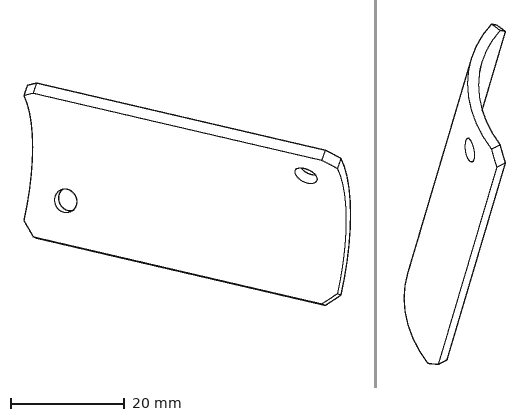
import cadquery as cq
import math

length = 60.0
inner_radius = 24.0
thickness = 2.0
inner_chord = 30.0
corner_chamfer = 2.4
hole_diameter = 4.2
hole_offset_x = 23.0
hole_angle = 20.7

outer_radius = inner_radius + thickness
half_angle = math.asin(inner_chord / 2 / inner_radius)


def arc_point(radius, angle):
    """Point (y, z) on an arc about the X axis, with angle zero towards +Y."""
    return (radius * math.cos(angle), radius * math.sin(angle))


def curved_plate():
    """Arc-shaped section with radial ends, extruded along X about its centre."""
    return (
        cq.Workplane("YZ")
        .moveTo(*arc_point(inner_radius, -half_angle))
        .threePointArc((inner_radius, 0), arc_point(inner_radius, half_angle))
        .lineTo(*arc_point(outer_radius, half_angle))
        .threePointArc((outer_radius, 0), arc_point(outer_radius, -half_angle))
        .close()
        .extrude(length / 2, both=True)
    )


def radial_hole(x, angle_degrees):
    """Cylinder through the wall, pointing straight out from the X axis."""
    y, z = arc_point(1, math.radians(angle_degrees))
    return cq.Workplane(
        cq.Solid.makeCylinder(
            hole_diameter / 2, 2 * outer_radius, cq.Vector(x, 0, 0), cq.Vector(0, y, z)
        )
    )


plate = curved_plate()

for z_side in (">Z", "<Z"):
    for x_side in (">X", "<X"):
        corner_edge = plate.faces(x_side).edges(z_side)
        plate = corner_edge.chamfer(corner_chamfer)

for side in (-1, 1):
    plate = plate.cut(radial_hole(side * hole_offset_x, side * hole_angle))

result = plate